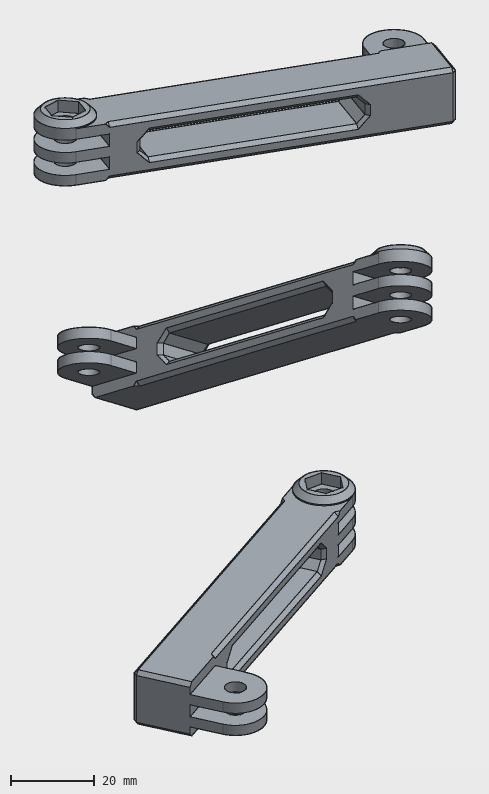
import cadquery as cq


width = 15.0
total_length = 104.0
lug_reach = 16.0
edge_chamfer = 1.0
bolt_diameter = 5.2

prong_count = 3
plate_thickness = 2.8
finger_gap = 3.3

cap_height = 1.9
cap_chamfer = 1.6
nut_across_corners = 9.9
nut_depth = 3.1

window_end_wall = 7.0
window_height = 9.2
window_corner = 3.1
window_chamfer = 1.0

radius = width / 2
arm_start = lug_reach - radius
arm_end = total_length - radius
finger_start = arm_end - width
total_height = width + cap_height

fork_axis = (radius, 0)
finger_axis = (radius - lug_reach, arm_end - radius)

prong_pitch = (width - plate_thickness) / (prong_count - 1)
prong_bottoms = [i * prong_pitch for i in range(prong_count)]
lower_finger = (width - finger_gap) / 2 - plate_thickness
finger_bottoms = [lower_finger, lower_finger + plate_thickness + finger_gap]

window_length = finger_start - arm_start - 2 * window_end_wall
window_center = cq.Vector(0, (arm_start + finger_start) / 2, width / 2)


def make_arm():
    """Square bar chamfered on its long +X edges and on its +Y end, except at the -X face."""
    bar = cq.Workplane("XY").box(width, arm_end - arm_start, width, centered=False)
    bar = bar.translate((0, arm_start, 0))
    long_edges = bar.edges("|Y and >X")
    end_edges = bar.faces(">Y").edges("not <X")
    return long_edges.add(end_edges).chamfer(edge_chamfer)


def make_plate(axis, reach, bottom):
    """Round-nosed plate around a vertical bolt axis, reaching back by the vector reach."""
    plate = (
        cq.Workplane("XY", origin=(0, 0, bottom))
        .center(*axis)
        .circle(radius)
        .extrude(plate_thickness)
    )
    size = [abs(length) if length else width for length in reach]
    straight = (
        cq.Workplane("XY", origin=(0, 0, bottom))
        .center(axis[0] + reach[0] / 2, axis[1] + reach[1] / 2)
        .rect(*size)
        .extrude(plate_thickness)
    )
    return plate.union(straight)


def make_corner_wedge(corner, legs):
    """Tetrahedron with a right-angled corner and three signed axis-parallel legs."""
    root = cq.Vector(*corner)
    tips = [
        root + cq.Vector(legs[0], 0, 0),
        root + cq.Vector(0, legs[1], 0),
        root + cq.Vector(0, 0, legs[2]),
    ]
    triangles = [tips] + [[root, tips[i], tips[(i + 1) % 3]] for i in range(3)]
    faces = [cq.Face.makeFromWires(cq.Wire.makePolygon(t, close=True)) for t in triangles]
    return cq.Solid.makeSolid(cq.Shell.makeShell(faces))


def make_side_chamfer_cut(z, inward):
    """Cut along a -X edge between fork and fingers, running out to a point in both."""
    c = edge_chamfer
    edge = (
        cq.Workplane("XZ", origin=(0, arm_start, 0))
        .polyline([(0, z), (c, z), (0, z + inward * c)])
        .close()
        .extrude(arm_start - finger_start)
    )
    fork_end = make_corner_wedge((0, arm_start, z), (c, -c, inward * c))
    finger_end = make_corner_wedge((0, finger_start, z), (c, c, inward * c))
    return edge.union(cq.Workplane(fork_end)).union(cq.Workplane(finger_end))


def make_cap():
    """Round nut cap standing on the top prong, chamfered around its rim."""
    cap = cq.Workplane("XY", origin=(0, 0, width)).center(*fork_axis)
    return cap.circle(radius).extrude(cap_height).faces(">Z").chamfer(cap_chamfer)


def make_window_outline(x, inset):
    """Rectangle with cut corners; the inset moves the straight sides, not their ends."""
    half_y = window_length / 2
    half_z = window_height / 2
    flat_y = half_y - window_corner
    flat_z = half_z - window_corner
    half_y -= inset
    half_z -= inset
    points = [
        (flat_y, half_z), (half_y, flat_z), (half_y, -flat_z), (flat_y, -half_z),
        (-flat_y, -half_z), (-half_y, -flat_z), (-half_y, flat_z), (-flat_y, half_z),
    ]
    corners = [window_center + cq.Vector(x, y, z) for y, z in points]
    return cq.Wire.makePolygon(corners, close=True)


def make_window_cut():
    """Window through the arm along X, flared at both side faces."""
    sections = [
        (0, 0),
        (window_chamfer, window_chamfer),
        (width - window_chamfer, window_chamfer),
        (width, 0),
    ]
    outlines = [make_window_outline(x, inset) for x, inset in sections]
    return cq.Workplane(cq.Solid.makeLoft(outlines, True))


def make_bolt_hole(axis):
    """Vertical clearance hole through the full height."""
    hole = cq.Workplane("XY").center(*axis)
    return hole.circle(bolt_diameter / 2).extrude(total_height)


def make_nut_pocket():
    """Hexagonal recess in the cap with two corners along X."""
    pocket = cq.Workplane("XY", origin=(0, 0, total_height - nut_depth)).center(*fork_axis)
    return pocket.polygon(6, nut_across_corners).extrude(nut_depth)


result = make_arm()

for bottom in prong_bottoms:
    result = result.union(make_plate(fork_axis, (0, arm_start), bottom))
for bottom in finger_bottoms:
    result = result.union(make_plate(finger_axis, (-finger_axis[0], 0), bottom))
result = result.union(make_cap())

for z, inward in [(0, 1), (width, -1)]:
    run_out_legs = (-edge_chamfer, -edge_chamfer, inward * edge_chamfer)
    run_out = make_corner_wedge((width, arm_start, z), run_out_legs)
    result = result.cut(make_side_chamfer_cut(z, inward))
    result = result.cut(cq.Workplane(run_out))

result = result.cut(make_window_cut())
for axis in [fork_axis, finger_axis]:
    result = result.cut(make_bolt_hole(axis))
result = result.cut(make_nut_pocket())